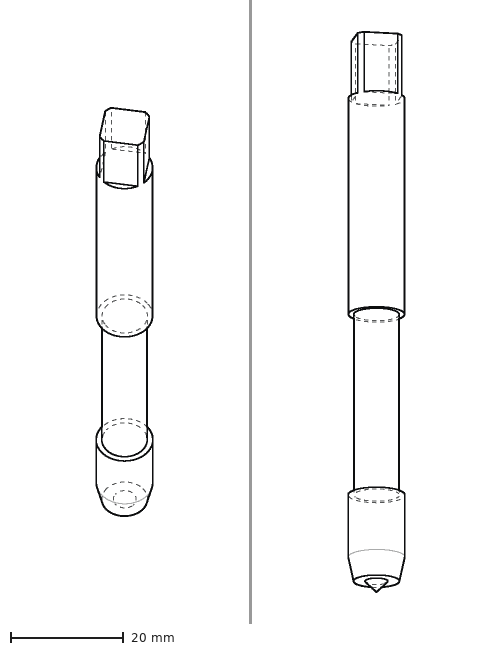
import cadquery as cq

total_length = 102.1
shank_diameter = 10.0
neck_diameter = 8.1
head_diameter = 10.1

point_length = 2.0
head_base_diameter = 8.2
taper_length = 4.5
head_length = 11.4
neck_length = 33.3

drive_length = 11.0
drive_across_flats = 8.0

point_diameter = 2 * point_length
taper_top = point_length + taper_length
head_top = taper_top + head_length
neck_top = head_top + neck_length

body = (
    cq.Workplane("XZ")
    .moveTo(0, 0)
    .lineTo(point_diameter / 2, point_length)
    .lineTo(head_base_diameter / 2, point_length)
    .lineTo(head_diameter / 2, taper_top)
    .lineTo(head_diameter / 2, head_top)
    .lineTo(neck_diameter / 2, head_top)
    .lineTo(neck_diameter / 2, neck_top)
    .lineTo(shank_diameter / 2, neck_top)
    .lineTo(shank_diameter / 2, total_length)
    .lineTo(0, total_length)
    .close()
    .revolve(360, (0, 0, 0), (0, 1, 0))
)

drive_base = cq.Workplane("XY").workplane(offset=total_length - drive_length)
flat_cutter = (
    drive_base.circle(shank_diameter)
    .extrude(drive_length)
    .cut(
        drive_base.transformed(rotate=(0, 0, 45))
        .rect(drive_across_flats, drive_across_flats)
        .extrude(drive_length)
    )
)

result = body.cut(flat_cutter)